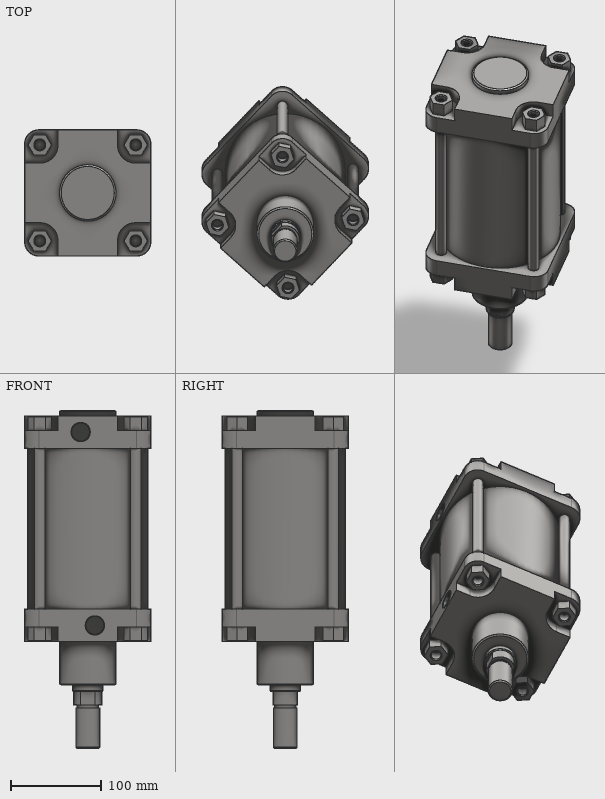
import cadquery as cq
import math

side = 140.0
corner_radius = 16.0
cover_thickness = 36.0
recess_depth = 16.0
recess_radius = 20.2

boss_diameter = 62.5
boss_height = 6.0
boss_chamfer_height = 1.0
boss_chamfer_width = 2.0

port_diameter = 21.5
port_chamfer = 0.7
port_depth = 30.0
port_offset = 8.0

barrel_diameter = 133.0

tie_rod_spacing = 106.2
tie_rod_diameter = 12.0
nut_across_flats = 22.5
nut_height = 15.0
socket_diameter = 11.0
socket_chamfer = 1.0

rod_diameter = 26.5
rod_chamfer = 1.5
groove_diameter = 24.3
collar_diameter = 33.5
collar_chamfer = 1.0
wrench_diameter = 31.0
wrench_across_flats = rod_diameter

groove_bottom = 45.0
groove_top = 48.2
collar_bottom = 63.0
neck_bottom = 70.3
overall_length = 374.0
front_cover_bottom = 118.0
front_cover_top = front_cover_bottom + cover_thickness
rear_cover_top = overall_length - boss_height
rear_cover_bottom = rear_cover_top - cover_thickness

nut_across_corners = nut_across_flats / math.cos(math.radians(30))
tie_rod_place = tie_rod_spacing / 2
tie_rod_centres = [(x * tie_rod_place, y * tie_rod_place) for x in (-1, 1) for y in (-1, 1)]
recess_width = side / 2 - tie_rod_place + recess_radius
rear_seat = rear_cover_top - recess_depth
front_seat = front_cover_bottom + recess_depth


def cylinder(diameter, bottom, top):
    """Round bar on the Z axis between two levels."""
    return cq.Workplane("XY").workplane(offset=bottom).circle(diameter / 2).extrude(top - bottom)


def chamfered_boss(height):
    """Round boss standing on the XY plane, with a shallow chamfer around its free end."""
    radius = boss_diameter / 2
    profile = [
        (0, 0),
        (radius, 0),
        (radius, height - boss_chamfer_height),
        (radius - boss_chamfer_width, height),
        (0, height),
    ]
    return cq.Workplane("XZ").polyline(profile).close().revolve(360, (0, 0), (0, 1))


def port(x, z):
    """Cutter for a blind port with a chamfered mouth on the -Y face."""
    radius = port_diameter / 2
    bore_radius = radius - port_chamfer
    profile = [
        (0, 0),
        (radius, 0),
        (bore_radius, port_chamfer),
        (bore_radius, port_depth),
        (0, port_depth),
    ]
    cutter = cq.Workplane("XY").polyline(profile).close().revolve(360, (0, 0), (0, 1))
    return cutter.translate((x, -side / 2, z))


def cover_block(bottom, recess_bottom, port_x):
    """Square cover with corner recesses, tie rod holes and one port."""
    block = (
        cq.Workplane("XY")
        .workplane(offset=bottom)
        .rect(side, side)
        .extrude(cover_thickness)
        .edges("|Z")
        .fillet(corner_radius)
    )
    recesses = (
        cq.Workplane("XY")
        .workplane(offset=recess_bottom)
        .rect(side, side, forConstruction=True)
        .vertices()
        .rect(2 * recess_width, 2 * recess_width)
        .extrude(recess_depth)
        .edges("|Z")
        .fillet(recess_radius)
    )
    holes = (
        cq.Workplane("XY")
        .workplane(offset=bottom)
        .pushPoints(tie_rod_centres)
        .circle(tie_rod_diameter / 2)
        .extrude(cover_thickness)
    )
    return block.cut(recesses).cut(holes).cut(port(port_x, bottom + cover_thickness / 2))


def make_rear_cover():
    boss = chamfered_boss(boss_height).translate((0, 0, rear_cover_top))
    return cover_block(rear_cover_bottom, rear_seat, -port_offset).union(boss)


def make_front_cover():
    neck_length = front_cover_bottom - neck_bottom
    neck = chamfered_boss(neck_length).mirror("XY").translate((0, 0, front_cover_bottom))
    return cover_block(front_cover_bottom, front_cover_bottom, port_offset).union(neck)


def make_barrel():
    return cylinder(barrel_diameter, front_cover_top, rear_cover_bottom)


def make_piston_rod():
    threaded_end = cylinder(rod_diameter, 0, groove_bottom).faces("<Z").chamfer(rod_chamfer)
    groove = cylinder(groove_diameter, groove_bottom, groove_top)
    wrench_section = cylinder(wrench_diameter, groove_top, collar_bottom).intersect(
        cq.Workplane("XY").box(wrench_diameter, wrench_across_flats, 2 * collar_bottom)
    )
    collar = cylinder(collar_diameter, collar_bottom, neck_bottom).faces("<Z").chamfer(collar_chamfer)
    return threaded_end.union(groove).union(wrench_section).union(collar)


def make_tie_rod(x, y):
    """Tie rod with a hexagonal nut and a chamfered socket at each end."""
    rod = cylinder(tie_rod_diameter, front_seat, rear_seat)
    for seat, outward, end in ((rear_seat, 1, ">Z"), (front_seat, -1, "<Z")):
        nut = (
            cq.Workplane("XY")
            .workplane(offset=seat)
            .polygon(6, nut_across_corners)
            .extrude(outward * nut_height)
            .faces(end)
            .workplane()
            .hole(socket_diameter, nut_height)
            .faces(end)
            .edges("%CIRCLE")
            .chamfer(socket_chamfer)
        )
        rod = rod.union(nut)
    return rod.translate((x, y, 0))


rear_cover = make_rear_cover()
front_cover = make_front_cover()
barrel = make_barrel()
piston_rod = make_piston_rod()
tie_rods = [make_tie_rod(x, y) for x, y in tie_rod_centres]

result = cq.Compound.makeCompound([
    rear_cover.val(),
    front_cover.val(),
    barrel.val(),
    piston_rod.val(),
    *[tie_rod.val() for tie_rod in tie_rods],
])